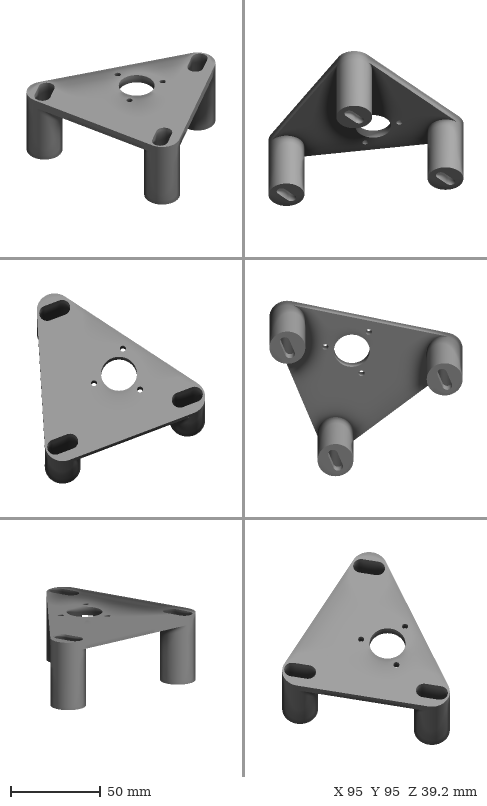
import cadquery as cq
import math

height = 39.2
plate_thickness = 4.9
leg_diameter = 20.0
outer_side = 95.0
leg_radius = leg_diameter / 2
leg_offset = outer_side / 2 - leg_radius

left_leg_y = -12.4
leg_centers = [
    (-leg_offset, left_leg_y),
    (leg_offset, -leg_offset),
    (leg_offset, leg_offset),
]

recess_length = 18.0
recess_width = 9.0
slot_length = 13.5
slot_width = 5.5
slot_floor_thickness = 5.0

opening_center = (10.5, 7.1)
opening_diameter = 20.0
screw_diameter = 3.4
screw_circle_radius = 15.0
screw_angles = (30, 150, 270)


def tangent_points(start, end):
    """Ends of the outer tangent line between two consecutive leg circles."""
    dx = end[0] - start[0]
    dy = end[1] - start[1]
    distance = math.hypot(dx, dy)
    shift_x = leg_radius * dy / distance
    shift_y = -leg_radius * dx / distance
    return [(x + shift_x, y + shift_y) for x, y in (start, end)]


def make_plate():
    """Triangular plate; the legs themselves round its three corners."""
    outline = []
    for index, center in enumerate(leg_centers):
        next_center = leg_centers[(index + 1) % len(leg_centers)]
        outline += tangent_points(center, next_center)
    return (
        cq.Workplane("XY", origin=(0, 0, height - plate_thickness))
        .polyline(outline).close().extrude(plate_thickness)
    )


def make_legs():
    return cq.Workplane("XY").pushPoints(leg_centers).circle(leg_radius).extrude(height)


def make_slots(length, width, bottom):
    """Slots along Y on every leg axis, from the given level up to the top."""
    return (
        cq.Workplane("XY", origin=(0, 0, bottom))
        .pushPoints(leg_centers).slot2D(length, width, 90).extrude(height - bottom)
    )


def make_opening():
    screw_points = [
        (
            opening_center[0] + screw_circle_radius * math.cos(math.radians(angle)),
            opening_center[1] + screw_circle_radius * math.sin(math.radians(angle)),
        )
        for angle in screw_angles
    ]
    bore = cq.Workplane("XY").center(*opening_center).circle(opening_diameter / 2).extrude(height)
    screws = cq.Workplane("XY").pushPoints(screw_points).circle(screw_diameter / 2).extrude(height)
    return bore.union(screws)


recesses = make_slots(recess_length, recess_width, slot_floor_thickness)
through_slots = make_slots(slot_length, slot_width, 0)

body = make_plate().union(make_legs())
result = body.cut(recesses).cut(through_slots).cut(make_opening())